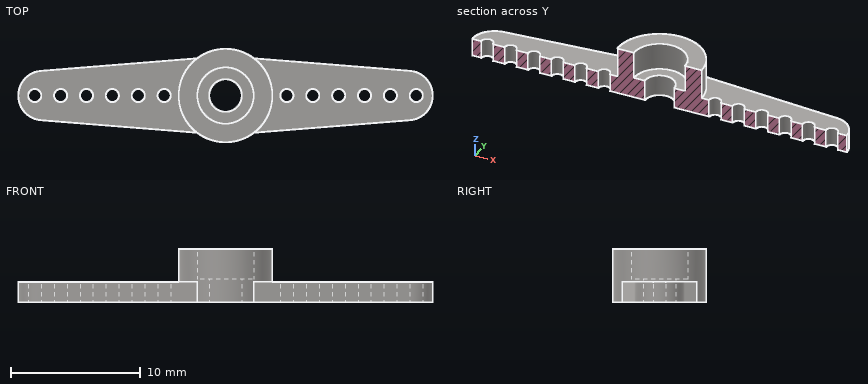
import cadquery as cq
import math

length = 32.1
arm_thickness = 1.57
tip_radius = 1.93
root_half_width = 2.9

hub_diameter = 7.25
hub_height = 4.15
socket_diameter = 4.35
socket_depth = 2.3
screw_hole_diameter = 2.5

link_hole_diameter = 1.0
link_holes_per_arm = 6
inner_link_hole_x = 4.75
outer_link_hole_x = 14.75

hub_radius = hub_diameter / 2
link_hole_pitch = (outer_link_hole_x - inner_link_hole_x) / (link_holes_per_arm - 1)
tip_center_x = length / 2 - tip_radius
root_x = math.sqrt(hub_radius**2 - root_half_width**2)


def tip_tangent_point():
    """Point where the line from the arm root touches the upper side of the tip circle."""
    run = tip_center_x - root_x
    distance = math.hypot(run, root_half_width)
    root_direction = math.atan2(root_half_width, -run)
    angle = root_direction - math.acos(tip_radius / distance)
    return tip_center_x + tip_radius * math.cos(angle), tip_radius * math.sin(angle)


def make_arm():
    """Tapered arm along +X with a round tip, starting inside the hub."""
    tangent_x, tangent_y = tip_tangent_point()
    return (
        cq.Workplane("XY")
        .moveTo(0, -root_half_width)
        .lineTo(root_x, -root_half_width)
        .lineTo(tangent_x, -tangent_y)
        .threePointArc((length / 2, 0), (tangent_x, tangent_y))
        .lineTo(root_x, root_half_width)
        .lineTo(0, root_half_width)
        .close()
        .extrude(arm_thickness)
    )


def make_hub():
    return cq.Workplane("XY").circle(hub_radius).extrude(hub_height)


def make_link_holes():
    """Through holes at equal pitch, mirrored on both arms."""
    distances = [inner_link_hole_x + i * link_hole_pitch for i in range(link_holes_per_arm)]
    centers = [(side * x, 0) for side in (-1, 1) for x in distances]
    return cq.Workplane("XY").pushPoints(centers).circle(link_hole_diameter / 2).extrude(arm_thickness)


def make_hub_bore():
    """Socket open at the top, with a smaller screw hole through its floor."""
    socket_floor = hub_height - socket_depth
    socket = (
        cq.Workplane("XY")
        .workplane(offset=socket_floor)
        .circle(socket_diameter / 2)
        .extrude(socket_depth)
    )
    screw_hole = cq.Workplane("XY").circle(screw_hole_diameter / 2).extrude(hub_height)
    return socket.union(screw_hole)


arm = make_arm()
horn = make_hub().union(arm).union(arm.mirror("YZ"))
result = horn.cut(make_link_holes()).cut(make_hub_bore())